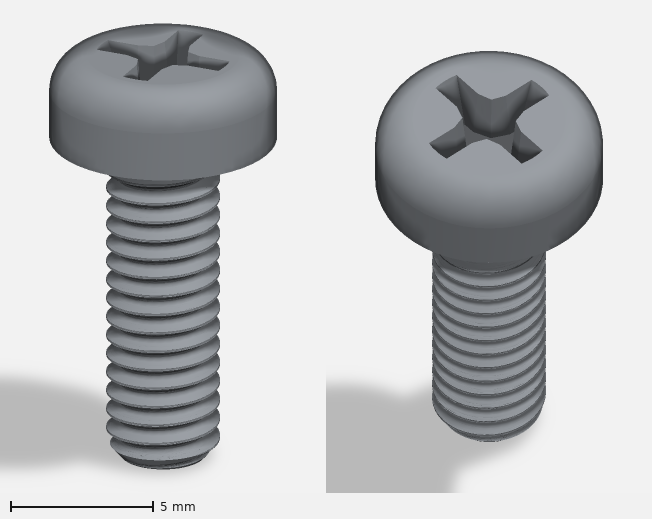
import cadquery as cq
import math

total_length = 15.1
head_diameter = 8.0
head_height = 3.1
head_edge_radius = 1.31
shank_length = total_length - head_height

major_diameter = 4.0
minor_diameter = 3.1
pitch = 0.175 * major_diameter
crest_width = pitch / 8
flank_angle = math.radians(30)
crest_start = -0.2
flank_intervals = 6
end_chamfer_width = 0.5
end_chamfer_height = 0.57

recess_depth = 1.81
recess_top_radius = 2.4
recess_floor_radius = 1.65
arm_top_half_width = 0.48
arm_floor_half_width = 0.25
arm_root = 1.18
corner_top = 0.66
corner_floor = 0.55


def make_head():
    head = cq.Workplane("XY").circle(head_diameter / 2).extrude(head_height)
    return head.faces(">Z").edges().fillet(head_edge_radius)


def thread_section(crest_direction):
    """Cross-section of the thread: crest and root arcs joined by two linear spirals."""
    crest_radius = major_diameter / 2
    root_radius = minor_diameter / 2
    flank_height = (crest_radius - root_radius) * math.tan(flank_angle)
    crest_half = math.pi * crest_width / pitch
    root_edge = crest_half + 2 * math.pi * flank_height / pitch

    def point(radius, angle):
        turned = crest_direction + angle
        return (radius * math.cos(turned), radius * math.sin(turned))

    def flank(start_radius, start_angle, end_radius, end_angle):
        steps = [i / flank_intervals for i in range(flank_intervals + 1)]
        return [
            point(
                start_radius + t * (end_radius - start_radius),
                start_angle + t * (end_angle - start_angle),
            )
            for t in steps
        ]

    return (
        cq.Workplane("XY", origin=(0, 0, -shank_length))
        .moveTo(*point(crest_radius, -crest_half))
        .threePointArc(point(crest_radius, 0), point(crest_radius, crest_half))
        .spline(flank(crest_radius, crest_half, root_radius, root_edge))
        .threePointArc(point(root_radius, math.pi), point(root_radius, -root_edge))
        .spline(flank(root_radius, -root_edge, crest_radius, -crest_half))
        .close()
    )


def make_shank():
    """Right-hand threaded shank, flat under the head and coned at the free end."""
    crest_direction = -2 * math.pi * (shank_length + crest_start) / pitch
    thread = thread_section(crest_direction).twistExtrude(shank_length, 360 * shank_length / pitch)
    end_radius = major_diameter / 2 - end_chamfer_width
    cone_top_radius = end_radius + shank_length * end_chamfer_width / end_chamfer_height
    cone = (
        cq.Workplane("XY", origin=(0, 0, -shank_length))
        .circle(end_radius)
        .workplane(offset=shank_length)
        .circle(cone_top_radius)
        .loft(ruled=True)
    )
    return thread.intersect(cone)


def cross_points(half_width, corner):
    """Outline of a four-armed cross whose square arm ends reach past the recess cone."""
    reach = head_diameter / 2
    arm = [
        (reach, -half_width),
        (reach, half_width),
        (arm_root, half_width),
        (corner, corner),
        (half_width, arm_root),
    ]
    points = []
    for _ in range(4):
        points += arm
        arm = [(-y, x) for x, y in arm]
    return points


def make_recess():
    floor = head_height - recess_depth
    cross = (
        cq.Workplane("XY", origin=(0, 0, floor))
        .polyline(cross_points(arm_floor_half_width, corner_floor)).close()
        .workplane(offset=recess_depth)
        .polyline(cross_points(arm_top_half_width, corner_top)).close()
        .loft(ruled=True)
    )
    cone = (
        cq.Workplane("XY", origin=(0, 0, floor))
        .circle(recess_floor_radius)
        .workplane(offset=recess_depth)
        .circle(recess_top_radius)
        .loft(ruled=True)
    )
    return cross.intersect(cone)


result = make_head().union(make_shank()).cut(make_recess())